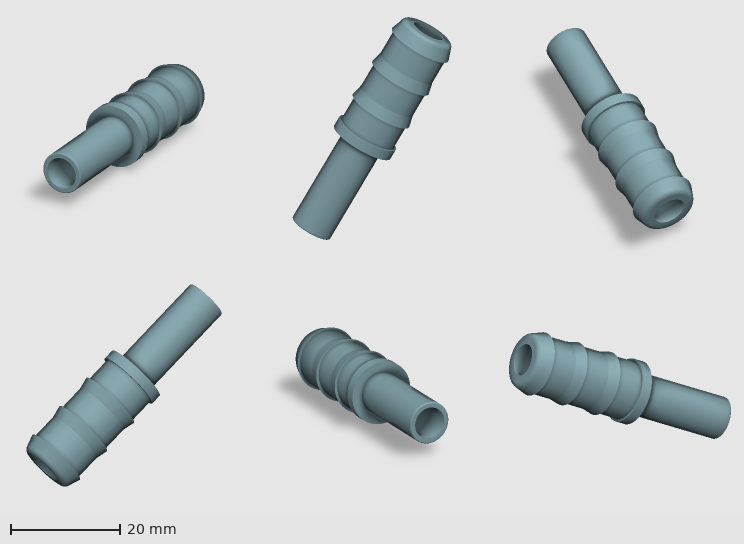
import cadquery as cq

total_length = 43.5
bore_radius = 3.0

stem_radius = 7.95 / 2
stem_length = 19.0
stem_end_fillet = 0.25

collar_radius = 6.0
collar_length = 2.0

tail_radius = 5.5
barb_radius = collar_radius
barb_length = 2.25
barb_pitch = 7.25
first_barb_y = 25.95
plain_barb_count = 2

nose_rim_y = first_barb_y + plain_barb_count * barb_pitch
nose_tip_radius = 5.0
nose_fillet = 1.0


def cylinder(radius, start_y, length):
    """Solid cylinder along +Y."""
    plane = cq.Workplane("XZ", origin=(0, start_y, 0))
    return plane.circle(radius).extrude(-length)


def cone(rim_radius, small_radius, start_y, length):
    """Solid cone along +Y, narrowing from rim_radius to small_radius."""
    return cq.Workplane(
        cq.Solid.makeCone(
            rim_radius, small_radius, length, cq.Vector(0, start_y, 0), cq.Vector(0, 1, 0)
        )
    )


stem = cylinder(stem_radius, 0, stem_length).faces("<Y").edges().fillet(stem_end_fillet)
collar = cylinder(collar_radius, stem_length, collar_length)

tail_start_y = stem_length + collar_length
tail = cylinder(tail_radius, tail_start_y, nose_rim_y - tail_start_y)

nose = cone(barb_radius, nose_tip_radius, nose_rim_y, total_length - nose_rim_y)
nose = nose.faces(">Y").edges().fillet(nose_fillet)

body = stem.union(collar).union(tail).union(nose)
for index in range(plain_barb_count):
    barb_y = first_barb_y + index * barb_pitch
    body = body.union(cone(barb_radius, tail_radius, barb_y, barb_length))

bore = cylinder(bore_radius, 0, total_length)
result = body.cut(bore)